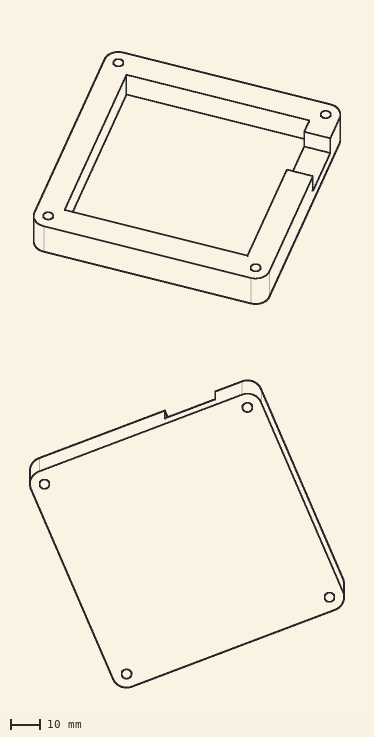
import cadquery as cq

side = 85.1
height = 13.0
corner_radius = 5.0

pocket_side = 66.2
pocket_depth = 10.0
wall = (side - pocket_side) / 2

hole_diameter = 3.4
hole_spacing = side - 2 * corner_radius

notch_width = 18.55
notch_depth = 7.5
notch_center_y = 18.3


def make_body():
    """Square block with rounded vertical corners, standing on Z = 0."""
    block = cq.Workplane("XY").box(side, side, height, centered=(True, True, False))
    return block.edges("|Z").fillet(corner_radius)


def make_pocket():
    """Volume removed to form the square recess."""
    return (
        cq.Workplane("XY")
        .workplane(offset=height - pocket_depth)
        .rect(pocket_side, pocket_side)
        .extrude(pocket_depth)
    )


def make_holes():
    """Through holes at the four corners."""
    return (
        cq.Workplane("XY")
        .rect(hole_spacing, hole_spacing, forConstruction=True)
        .vertices()
        .circle(hole_diameter / 2)
        .extrude(height)
    )


def make_notch():
    """Volume removed to open the +X wall from the top."""
    return (
        cq.Workplane("XY")
        .workplane(offset=height - notch_depth)
        .center((side - wall) / 2, notch_center_y)
        .rect(wall, notch_width)
        .extrude(notch_depth)
    )


result = make_body().cut(make_pocket()).cut(make_holes()).cut(make_notch())